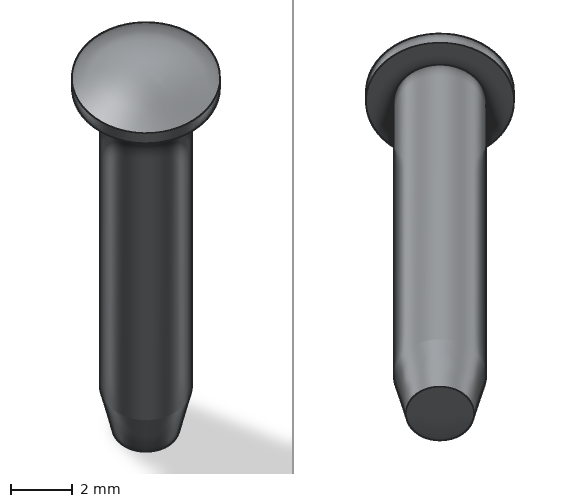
import cadquery as cq

total_length = 17.5
head_diameter = 4.8
rim_height = 0.49
dome_height = 0.49
shank_diameter = 3.0
tip_diameter = 2.2
tip_length = 2.0

head_radius = head_diameter / 2
shank_radius = shank_diameter / 2
tip_radius = tip_diameter / 2
head_top = rim_height + dome_height
pin_end = head_top - total_length
taper_start = pin_end + tip_length

dome_radius = (head_radius**2 + dome_height**2) / (2 * dome_height)
dome_center = head_top - dome_radius

arc_mid_radius = head_radius / 2
arc_mid_height = dome_center + (dome_radius**2 - arc_mid_radius**2) ** 0.5

result = (
    cq.Workplane("XZ")
    .moveTo(0, pin_end)
    .lineTo(tip_radius, pin_end)
    .lineTo(shank_radius, taper_start)
    .lineTo(shank_radius, 0)
    .lineTo(head_radius, 0)
    .lineTo(head_radius, rim_height)
    .threePointArc((arc_mid_radius, arc_mid_height), (0, head_top))
    .close()
    .revolve(360, (0, 0, 0), (0, 1, 0))
)